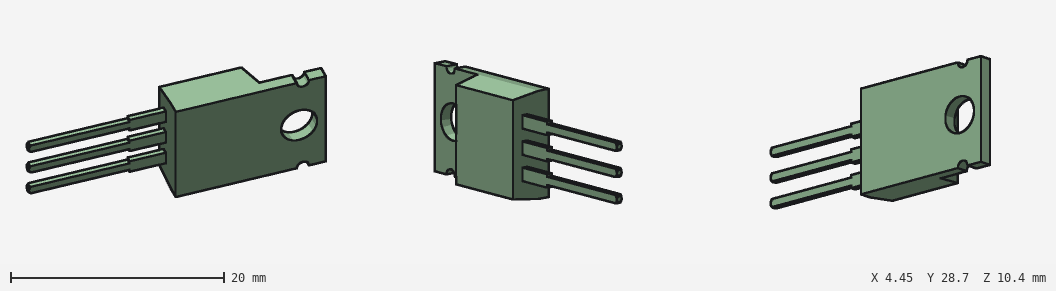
import cadquery as cq

TOTAL_LENGTH = 28.7
TOTAL_DEPTH = 4.45
WIDTH = 10.42

TAB_THICKNESS = 1.3
TAB_LENGTH = 15.0
HOLE_DIAMETER = 3.6
HOLE_FROM_TAB_END = 2.67
NOTCH_RADIUS = 0.6
NOTCH_FROM_TAB_END = 2.3

EXPOSED_TAB_LENGTH = 6.17
BODY_LENGTH = TAB_LENGTH - EXPOSED_TAB_LENGTH
SIDE_INSET = 0.43
END_INSET = 0.63

LEAD_COUNT = 3
LEAD_PITCH = 2.53
LEAD_THICKNESS = 0.6
LEAD_CENTRE_X = -2.98
LEAD_LENGTH = TOTAL_LENGTH - TAB_LENGTH
SHOULDER_WIDTH = 1.3
SHOULDER_LENGTH = 3.62
PIN_WIDTH = 0.8
TIP_DIAMETER = LEAD_THICKNESS


def make_tab():
    """Flat plate with a mounting hole and a half-round notch in each side edge."""
    plate = cq.Workplane("XY").box(
        TAB_THICKNESS, TAB_LENGTH, WIDTH, centered=(False, False, True)
    ).translate((-TAB_THICKNESS, 0, 0))
    hole = (
        cq.Workplane("YZ")
        .center(TAB_LENGTH - HOLE_FROM_TAB_END, 0)
        .circle(HOLE_DIAMETER / 2)
        .extrude(-TAB_THICKNESS)
    )
    notches = (
        cq.Workplane("YZ")
        .pushPoints([(TAB_LENGTH - NOTCH_FROM_TAB_END, side * WIDTH / 2) for side in (-1, 1)])
        .circle(NOTCH_RADIUS)
        .extrude(-TAB_THICKNESS)
    )
    return plate.cut(hole).cut(notches)


def make_body():
    """Block that tapers on both sides and at the tab end; the lead end stays square."""
    front_length = BODY_LENGTH - END_INSET
    return (
        cq.Workplane("YZ", origin=(-TAB_THICKNESS, 0, 0))
        .center(BODY_LENGTH / 2, 0)
        .rect(BODY_LENGTH, WIDTH)
        .workplane(offset=TAB_THICKNESS - TOTAL_DEPTH)
        .center(-END_INSET / 2, 0)
        .rect(front_length, WIDTH - 2 * SIDE_INSET)
        .loft(ruled=True)
    )


def make_lead(z):
    """Wide shoulder next to the body, then a narrow pin whose tip is trimmed to a 45-degree cone."""
    shoulder = cq.Workplane("XY").box(
        LEAD_THICKNESS, SHOULDER_LENGTH, SHOULDER_WIDTH, centered=(True, False, True)
    ).translate((0, -SHOULDER_LENGTH, 0))
    pin = cq.Workplane("XY").box(
        LEAD_THICKNESS, LEAD_LENGTH, PIN_WIDTH, centered=(True, False, True)
    ).translate((0, -LEAD_LENGTH, 0))
    tip_radius = TIP_DIAMETER / 2
    cone = cq.Workplane("XY").add(
        cq.Solid.makeCone(
            tip_radius,
            tip_radius + LEAD_LENGTH,
            LEAD_LENGTH,
            pnt=cq.Vector(0, -LEAD_LENGTH, 0),
            dir=cq.Vector(0, 1, 0),
        )
    )
    pin = pin.intersect(cone)
    return shoulder.union(pin).translate((LEAD_CENTRE_X, 0, z))


result = make_tab().union(make_body())
for index in range(LEAD_COUNT):
    lead_z = (index - (LEAD_COUNT - 1) / 2) * LEAD_PITCH
    result = result.union(make_lead(lead_z))